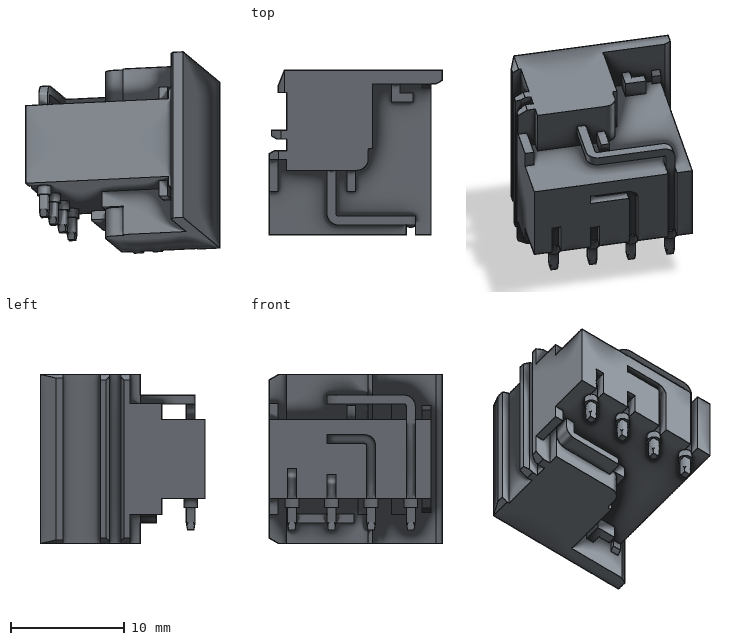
import cadquery as cq
import math


LENGTH = 15.3
DEPTH = 14.55
HALF_HEIGHT = 14.95 / 2

PITCH = 3.5
FIRST_PIN_X = 2.0
PIN_X = [FIRST_PIN_X + i * PITCH for i in range(4)]
WIRE = 0.8
WIRE_INNER_BEND = 0.2
WIRE_BEND = WIRE_INNER_BEND + WIRE / 2
WIRE_RECESS = 0.87
WIRE_EMBED = 0.15
PIN_Y = WIRE_RECESS + WIRE / 2
CONTACT_X = PIN_X[1]
FIRST_WIRE_Z = -1.22
COLLAR_DIAMETER = 1.22
COLLAR_HEIGHT = 0.8
PIN_EDGE_RADIUS = 0.2
PIN_STRAIGHT_HEIGHT = 1.3
PIN_TIP_HEIGHT = 0.66
PIN_TIP_TAPER = 10.0

BLOCK_LENGTH = 14.3
BLOCK_HALF_HEIGHT = PITCH

SIDE_X = 1.55
HOUSING_FRONT_Y = 5.7
CORNER_RADIUS = 1.0
CORNER_X = 8.75
CORNER_STEP_Y = 7.62
CORNER_STEP_RADIUS = 0.12
RIGHT_X = 9.15
PLATE_Y = 13.34
PLATE_CHAMFER_X = 0.54
PLATE_CHAMFER_Y = 0.3

RIB_THICKNESS = 0.8
FRONT_RIB_Y = 6.65
REAR_RIB_Y = 8.46
REAR_RIB_X = 0.2
RIB_CHAMFER_X = 0.47
BEVEL_SLOPE = math.tan(math.radians(30))
RIB_BEVEL = 0.83
LIP_X = 0.8
LIP_Y = 12.56
LIP_FLAT = 0.63
LIP_BEVEL = 0.54

FLANGE_THICKNESS = 0.8
FLANGE_Y = 3.81
FLANGE_HALF_HEIGHT = 4.91
KEY_X = 6.88
KEY_WIDTH = 0.75
KEY_TOP = 4.73
HOOK_X = 10.82
HOOK_Y = 11.74
HOOK_LENGTH = 1.88
HOOK_STEM_WIDTH = 0.73
HOOK_ARM_WIDTH = 0.8
CLIP_WIDTH = 0.8
CLIP_DEPTH = 0.35
CLIP_SLOPE_HEIGHT = 0.41
CORNER_FILL_X = 7.86
STRAP_FRONT_Y = 4.3
STRAP_RIGHT_X = 7.5


def box(x0, x1, y0, y1, z0, z1):
    return cq.Workplane("XY").box(x1 - x0, y1 - y0, z1 - z0, centered=False).translate((x0, y0, z0))


def full_height(outline):
    """Extrude a closed XY outline over the whole housing height."""
    return outline.close().extrude(2 * HALF_HEIGHT)


def plan(x, y):
    return cq.Workplane("XY", origin=(0, 0, -HALF_HEIGHT)).moveTo(x, y)


def bevel_ends(rib, tip_x, run):
    """Slope both ends of a left-hand rib, starting at `run` inward from its tip."""
    drop = run * BEVEL_SLOPE
    envelope = (
        cq.Workplane("XZ")
        .polyline([
            (tip_x, HALF_HEIGHT - drop),
            (tip_x + run, HALF_HEIGHT),
            (LENGTH, HALF_HEIGHT),
            (LENGTH, -HALF_HEIGHT),
            (tip_x + run, -HALF_HEIGHT),
            (tip_x, -HALF_HEIGHT + drop),
        ])
        .close()
        .extrude(-DEPTH)
    )
    return rib.intersect(envelope)


def make_housing():
    body = full_height(
        plan(SIDE_X, HOUSING_FRONT_Y)
        .lineTo(CORNER_X - CORNER_RADIUS, HOUSING_FRONT_Y)
        .radiusArc((CORNER_X, HOUSING_FRONT_Y + CORNER_RADIUS), -CORNER_RADIUS)
        .lineTo(CORNER_X, CORNER_STEP_Y - CORNER_STEP_RADIUS)
        .radiusArc((CORNER_X + CORNER_STEP_RADIUS, CORNER_STEP_Y), CORNER_STEP_RADIUS)
        .lineTo(RIGHT_X, CORNER_STEP_Y)
        .lineTo(RIGHT_X, PLATE_Y)
        .lineTo(LENGTH - PLATE_CHAMFER_X, PLATE_Y)
        .lineTo(LENGTH, PLATE_Y + PLATE_CHAMFER_Y)
        .lineTo(LENGTH, DEPTH)
        .lineTo(SIDE_X, DEPTH)
    )
    chamfer_y = RIB_CHAMFER_X * BEVEL_SLOPE
    front_rib = full_height(
        plan(SIDE_X, FRONT_RIB_Y)
        .lineTo(0, FRONT_RIB_Y)
        .lineTo(0, FRONT_RIB_Y + RIB_THICKNESS - chamfer_y)
        .lineTo(RIB_CHAMFER_X, FRONT_RIB_Y + RIB_THICKNESS)
        .lineTo(SIDE_X, FRONT_RIB_Y + RIB_THICKNESS)
    )
    rear_rib = full_height(
        plan(SIDE_X, REAR_RIB_Y)
        .lineTo(REAR_RIB_X + RIB_CHAMFER_X, REAR_RIB_Y)
        .lineTo(REAR_RIB_X, REAR_RIB_Y + chamfer_y)
        .lineTo(REAR_RIB_X, REAR_RIB_Y + RIB_THICKNESS)
        .lineTo(SIDE_X, REAR_RIB_Y + RIB_THICKNESS)
    )
    lip = full_height(
        plan(SIDE_X, LIP_Y)
        .lineTo(LIP_X, LIP_Y)
        .lineTo(LIP_X, LIP_Y + LIP_FLAT)
        .lineTo(LIP_X + LIP_BEVEL, DEPTH)
        .lineTo(SIDE_X, DEPTH)
    )
    return (
        body
        .union(bevel_ends(front_rib, 0, RIB_BEVEL))
        .union(bevel_ends(rear_rib, REAR_RIB_X, RIB_BEVEL))
        .union(bevel_ends(lip, LIP_X, LIP_BEVEL))
    )


def make_block():
    block = box(0, BLOCK_LENGTH, 0, FRONT_RIB_Y, -BLOCK_HALF_HEIGHT, BLOCK_HALF_HEIGHT)
    block_rear = box(SIDE_X, BLOCK_LENGTH, FRONT_RIB_Y, PLATE_Y, -BLOCK_HALF_HEIGHT, BLOCK_HALF_HEIGHT)
    flange = box(0, FLANGE_THICKNESS, FLANGE_Y, FRONT_RIB_Y, -FLANGE_HALF_HEIGHT, FLANGE_HALF_HEIGHT)
    key = box(KEY_X, KEY_X + KEY_WIDTH, FLANGE_Y, HOUSING_FRONT_Y, 0, KEY_TOP)
    hook_stem = box(
        HOOK_X, HOOK_X + HOOK_STEM_WIDTH, HOOK_Y, PLATE_Y, -FLANGE_HALF_HEIGHT, FLANGE_HALF_HEIGHT
    )
    hook_arm = box(
        HOOK_X, HOOK_X + HOOK_LENGTH, HOOK_Y, HOOK_Y + HOOK_ARM_WIDTH,
        -FLANGE_HALF_HEIGHT, FLANGE_HALF_HEIGHT
    )
    corner_fill = box(CORNER_FILL_X, RIGHT_X, HOUSING_FRONT_Y, CORNER_STEP_Y, -FLANGE_HALF_HEIGHT, 0)
    clip = (
        cq.Workplane("YZ", origin=(BLOCK_LENGTH - CLIP_WIDTH, 0, 0))
        .polyline([
            (PLATE_Y, -KEY_TOP),
            (PLATE_Y - CLIP_DEPTH, -KEY_TOP + CLIP_SLOPE_HEIGHT),
            (PLATE_Y - CLIP_DEPTH, KEY_TOP - CLIP_SLOPE_HEIGHT),
            (PLATE_Y, KEY_TOP),
        ])
        .close()
        .extrude(CLIP_WIDTH)
    )
    for piece in (block_rear, flange, key, hook_stem, hook_arm, corner_fill, clip):
        block = block.union(piece)
    return block


def make_strap():
    """Flat contact under the block, rising into it at the first pin."""
    left = FIRST_PIN_X - WIRE / 2
    bottom = -1.5 * PITCH - WIRE / 2
    outer_bend = WIRE_BEND + WIRE / 2
    run = (
        cq.Workplane("XZ", origin=(0, STRAP_FRONT_Y, 0))
        .moveTo(left, 0)
        .lineTo(left, bottom + outer_bend)
        .radiusArc((left + outer_bend, bottom), -outer_bend)
        .lineTo(STRAP_RIGHT_X, bottom)
        .lineTo(STRAP_RIGHT_X, bottom + WIRE)
        .lineTo(left + outer_bend, bottom + WIRE)
        .radiusArc((left + WIRE, bottom + outer_bend), WIRE_INNER_BEND)
        .lineTo(left + WIRE, 0)
        .close()
        .extrude(STRAP_FRONT_Y - HOUSING_FRONT_Y)
    )
    return run.edges("|Z and >X and <Y").fillet(PIN_EDGE_RADIUS)


def bent_wire(corners):
    """Square wire through the given points, with every corner bent to the wire radius."""
    points = [cq.Vector(*corner) for corner in corners]
    edges = []
    last = points[0]
    for before, corner, after in zip(points, points[1:], points[2:]):
        to_before = (before - corner).normalized()
        to_after = (after - corner).normalized()
        bend_start = corner + to_before * WIRE_BEND
        bend_end = corner + to_after * WIRE_BEND
        bend_middle = corner + (to_before + to_after) * (WIRE_BEND * (1 - math.sqrt(0.5)))
        edges.append(cq.Edge.makeLine(last, bend_start))
        edges.append(cq.Edge.makeThreePointArc(bend_start, bend_middle, bend_end))
        last = bend_end
    edges.append(cq.Edge.makeLine(last, points[-1]))
    path = cq.Wire.assembleEdges(edges)
    section = cq.Workplane("XZ", origin=corners[0]).rect(WIRE, WIRE)
    return section.sweep(cq.Workplane(path))


def wire_corners(pin_x, contact_x, contact_z):
    """Centre line from the housing forward, sideways to the pin, then down."""
    corners = [(contact_x, HOUSING_FRONT_Y + WIRE_EMBED, contact_z), (contact_x, PIN_Y, contact_z)]
    if pin_x != contact_x:
        corners.append((pin_x, PIN_Y, contact_z))
    corners.append((pin_x, PIN_Y, -BLOCK_HALF_HEIGHT))
    return corners


def make_slot(pin_x, contact_x, contact_z):
    """Slot of the wire's front outline, from the block front to the back of the wire."""
    half = WIRE / 2
    outer_bend = WIRE_BEND + half
    left = contact_x - half
    right = pin_x + half
    top = contact_z + half
    bottom = -BLOCK_HALF_HEIGHT
    outline = cq.Workplane("XZ").moveTo(right, bottom)
    if pin_x == contact_x:
        outline = outline.lineTo(right, top).lineTo(left, top).lineTo(left, bottom)
    else:
        outline = (
            outline.lineTo(right, top - outer_bend)
            .radiusArc((right - outer_bend, top), -outer_bend)
            .lineTo(left, top)
            .lineTo(left, top - WIRE)
            .lineTo(right - outer_bend, top - WIRE)
            .radiusArc((right - WIRE, top - outer_bend), WIRE_INNER_BEND)
            .lineTo(right - WIRE, bottom)
        )
    return outline.close().extrude(-WIRE_RECESS - WIRE)


def make_pin(x):
    collar = (
        cq.Workplane("XY", origin=(x, PIN_Y, -BLOCK_HALF_HEIGHT))
        .circle(COLLAR_DIAMETER / 2)
        .extrude(-COLLAR_HEIGHT)
    )
    shank_top = -BLOCK_HALF_HEIGHT - COLLAR_HEIGHT
    shank = (
        cq.Workplane("XY", origin=(x, PIN_Y, shank_top))
        .rect(WIRE, WIRE)
        .extrude(-PIN_STRAIGHT_HEIGHT - PIN_TIP_HEIGHT)
        .edges("|Z")
        .fillet(PIN_EDGE_RADIUS)
    )
    envelope = (
        cq.Workplane("XY", origin=(x, PIN_Y, shank_top))
        .rect(WIRE, WIRE)
        .extrude(-PIN_STRAIGHT_HEIGHT)
        .faces("<Z")
        .workplane()
        .rect(WIRE, WIRE)
        .extrude(PIN_TIP_HEIGHT, taper=PIN_TIP_TAPER)
    )
    return collar.union(shank.intersect(envelope))


wire_places = [
    (PIN_X[0], PIN_X[0], FIRST_WIRE_Z),
    (PIN_X[1], CONTACT_X, -PITCH / 2),
    (PIN_X[2], CONTACT_X, PITCH / 2),
    (PIN_X[3], CONTACT_X, 1.5 * PITCH),
]

result = make_block()
for place in wire_places:
    result = result.cut(make_slot(*place))
result = result.union(make_housing()).union(make_strap())
for place in wire_places:
    result = result.union(bent_wire(wire_corners(*place)))
for x in PIN_X:
    result = result.union(make_pin(x))